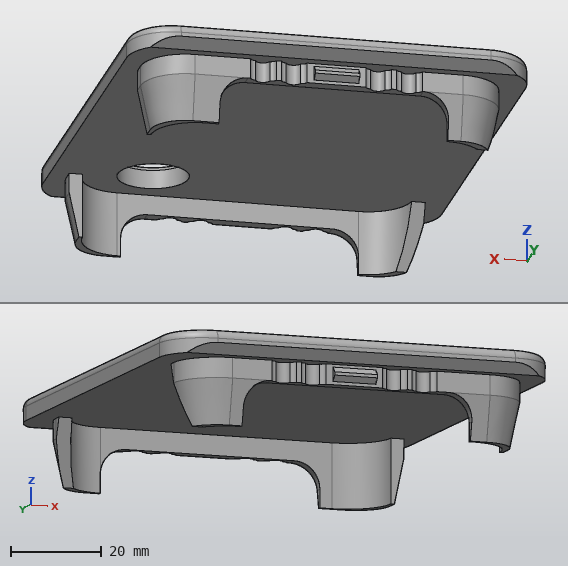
import cadquery as cq
import math

plate_width = 90.0
plate_length = 103.6
plate_thickness = 5.3
plate_corner_radius = 10.0
top_edge_radius = 2.1
under_chamfer = 2.3

hole_x = 22.4
hole_y = -31.8
hole_diameter = 16.0
hole_chamfer = 1.0

total_height = 20.0
skirt_bottom = plate_thickness - total_height
skirt_left = -39.8
skirt_right = 40.8
skirt_half_length = 47.0
skirt_corner_radius = 10.0
skirt_wall = 3.0
straight_depth = 4.6
leg_inset = 2.2
skirt_width = skirt_right - skirt_left
skirt_center_x = (skirt_left + skirt_right) / 2

right_opening = skirt_half_length - skirt_wall - skirt_corner_radius
left_opening_top = 35.1
left_opening_bottom = 40.5

arch_left = -26.7
front_arch_right = 26.9
back_arch_right = 24.9
arch_radius = 6.0

latch_center_x = -1.1
latch_width = 10.0
latch_height = 1.1
latch_top = -0.6
latch_bottom = -3.8
latch_flat_top = -1.9
latch_flat_bottom = -2.6
groove_width = 5.8
groove_depth = 2.1
groove_rim_radius = 1.3
inner_groove_offset = 9.5
groove_pitch = 6.9


def rounded_block(width, length, corner_radius, top, depth, taper=0):
    """Block with rounded vertical corners that extends down from the given level."""
    outline = cq.Sketch().rect(width, length).vertices().fillet(corner_radius)
    return cq.Workplane("XY", origin=(0, 0, top)).placeSketch(outline).extrude(-depth, taper=taper)


def make_plate():
    plate = rounded_block(plate_width, plate_length, plate_corner_radius, plate_thickness, plate_thickness)
    plate = plate.faces(">Z").edges().fillet(top_edge_radius)
    edge_cut = (
        cq.Workplane("YZ")
        .moveTo(-plate_length / 2, 0)
        .lineTo(under_chamfer - plate_length / 2, 0)
        .lineTo(-plate_length / 2, under_chamfer)
        .close()
        .extrude(plate_width / 2, both=True)
    )
    plate = plate.cut(edge_cut).cut(edge_cut.mirror("XZ"))
    hole_radius = hole_diameter / 2
    hole = cq.Workplane("XY").center(hole_x, hole_y).circle(hole_radius).extrude(plate_thickness)
    hole_rim = cq.Solid.makeCone(
        hole_radius,
        hole_radius + hole_chamfer,
        hole_chamfer,
        pnt=(hole_x, hole_y, plate_thickness - hole_chamfer),
    )
    return plate.cut(hole).cut(cq.Workplane(hole_rim))


def make_skirt_ring():
    skirt_length = 2 * skirt_half_length
    leg_depth = -skirt_bottom - straight_depth
    leg_taper = math.degrees(math.atan2(leg_inset, leg_depth))
    straight = rounded_block(skirt_width, skirt_length, skirt_corner_radius, 0, straight_depth)
    tapered = rounded_block(
        skirt_width, skirt_length, skirt_corner_radius, -straight_depth, leg_depth, leg_taper
    )
    cavity = rounded_block(
        skirt_width - 2 * skirt_wall,
        skirt_length - 2 * skirt_wall,
        skirt_corner_radius,
        0,
        -skirt_bottom,
    )
    return straight.union(tapered).cut(cavity).translate((skirt_center_x, 0, 0))


def side_opening(top_half_length, bottom_half_length, reach):
    """Cutter that removes a side wall, out to the given X, between front and back legs."""
    return (
        cq.Workplane("YZ")
        .polyline([
            (-top_half_length, 0),
            (top_half_length, 0),
            (bottom_half_length, skirt_bottom),
            (-bottom_half_length, skirt_bottom),
        ])
        .close()
        .extrude(reach)
    )


def leg_arch(right_end, y_direction):
    """Cutter with rounded upper corners for the space between two legs."""
    return (
        cq.Workplane("XZ")
        .moveTo(arch_left, skirt_bottom)
        .lineTo(arch_left, -straight_depth - arch_radius)
        .radiusArc((arch_left + arch_radius, -straight_depth), arch_radius)
        .lineTo(right_end - arch_radius, -straight_depth)
        .radiusArc((right_end, -straight_depth - arch_radius), arch_radius)
        .lineTo(right_end, skirt_bottom)
        .close()
        .extrude(-y_direction * skirt_half_length)
    )


def grip_groove(center_x):
    """Upright groove in the front face, with a round floor that flows into round rims."""
    half_width = groove_width / 2
    turn = 2 * math.atan2(groove_depth, half_width)
    floor_radius = half_width / math.sin(turn) - groove_rim_radius
    join_x = floor_radius * math.sin(turn)
    join_y = groove_rim_radius * (1 - math.cos(turn))
    return (
        cq.Workplane("XY")
        .moveTo(-half_width, 0)
        .radiusArc((-join_x, join_y), groove_rim_radius)
        .threePointArc((0, groove_depth), (join_x, join_y))
        .radiusArc((half_width, 0), groove_rim_radius)
        .close()
        .extrude(-straight_depth)
        .translate((center_x, -skirt_half_length, 0))
    )


def latch_ridge():
    """Trapezoidal ridge along X on the front face."""
    return (
        cq.Workplane("YZ")
        .polyline([
            (-skirt_half_length, latch_top),
            (-skirt_half_length - latch_height, latch_flat_top),
            (-skirt_half_length - latch_height, latch_flat_bottom),
            (-skirt_half_length, latch_bottom),
        ])
        .close()
        .extrude(latch_width / 2, both=True)
        .translate((latch_center_x, 0, 0))
    )


def make_skirt():
    skirt = make_skirt_ring()
    skirt = skirt.cut(side_opening(right_opening, right_opening, skirt_right))
    skirt = skirt.cut(side_opening(left_opening_top, left_opening_bottom, skirt_left))
    skirt = skirt.cut(leg_arch(front_arch_right, -1))
    skirt = skirt.cut(leg_arch(back_arch_right, 1))
    for side in (-1, 1):
        for offset in (inner_groove_offset, inner_groove_offset + groove_pitch):
            groove = grip_groove(latch_center_x + side * offset)
            skirt = skirt.cut(groove).cut(groove.mirror("XZ"))
    ridge = latch_ridge()
    return skirt.union(ridge).union(ridge.mirror("XZ"))


result = make_plate().union(make_skirt())